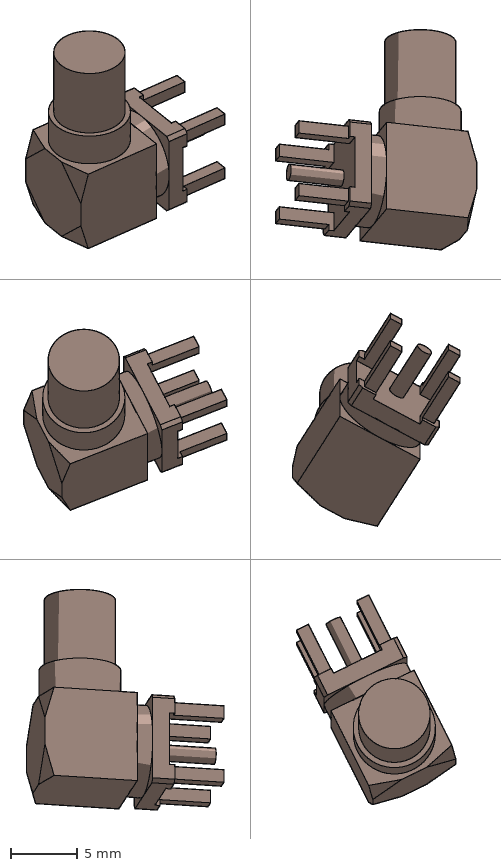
import cadquery as cq

body_side = 7.0
overall_depth = 13.9
overall_height = 15.2

body_depth = 7.11
corner_cut_side = 2.45
corner_cut_depth = 0.7
body_center_z = body_side / 2

barrel_axis_y = 3.4
collar_diameter = 6.2
collar_height = 2.6
barrel_diameter = 5.4

ring_length = 1.19
flange_thickness = 1.7
flange_chamfer = 0.3
recess_depth = 0.4
flange_start_y = body_depth + ring_length
flange_end_y = flange_start_y + flange_thickness
recess_floor_y = flange_end_y - recess_depth

leg_side = 1.0
leg_inner_offset = 2.04
leg_center_offset = leg_inner_offset + leg_side / 2
recess_width = 2 * leg_inner_offset
pin_diameter = 1.25
pin_setback = 0.1


def plane_at(y):
    """Workplane centred on the body's rear axis, facing +Y, with local x along -X."""
    return cq.Workplane("XZ", origin=(0, y, body_center_z)).transformed(rotate=(0, 180, 0))


def corner_wedge(side_x, side_z):
    """Tetrahedron that trims one front corner of the body."""
    x = side_x * body_side / 2
    z = body_center_z + side_z * body_side / 2
    corner = cq.Vector(x, 0, z)
    along_x = cq.Vector(x - side_x * corner_cut_side, 0, z)
    along_y = cq.Vector(x, corner_cut_depth, z)
    along_z = cq.Vector(x, 0, z - side_z * corner_cut_side)
    triangles = [
        (corner, along_x, along_y),
        (corner, along_y, along_z),
        (corner, along_z, along_x),
        (along_x, along_y, along_z),
    ]
    faces = [cq.Face.makeFromWires(cq.Wire.makePolygon(list(t), close=True)) for t in triangles]
    return cq.Workplane(cq.Solid.makeSolid(cq.Shell.makeShell(faces)))


def make_body():
    body = plane_at(0).rect(body_side, body_side).extrude(body_depth)
    for side_x in (-1, 1):
        for side_z in (-1, 1):
            body = body.cut(corner_wedge(side_x, side_z))
    return body


def make_barrel():
    base = cq.Workplane("XY", origin=(0, barrel_axis_y, body_side))
    collar = base.circle(collar_diameter / 2).extrude(collar_height)
    barrel = base.circle(barrel_diameter / 2).extrude(overall_height - body_side)
    return collar.union(barrel)


def make_flange():
    flange = plane_at(flange_start_y).rect(body_side, body_side).extrude(flange_thickness)
    flange = flange.edges("|Y").chamfer(flange_chamfer)
    for width, height in ((recess_width, body_side), (body_side, recess_width)):
        flange = flange.cut(plane_at(recess_floor_y).rect(width, height).extrude(recess_depth))
    return flange


def make_legs():
    spacing = 2 * leg_center_offset
    return (
        plane_at(recess_floor_y)
        .rect(spacing, spacing, forConstruction=True)
        .vertices()
        .rect(leg_side, leg_side)
        .extrude(overall_depth - recess_floor_y)
    )


ring = plane_at(body_depth).circle(body_side / 2).extrude(ring_length)
pin_length = overall_depth - pin_setback - recess_floor_y
pin = plane_at(recess_floor_y).circle(pin_diameter / 2).extrude(pin_length)

result = make_body().union(make_barrel()).union(ring).union(make_flange()).union(make_legs()).union(pin)